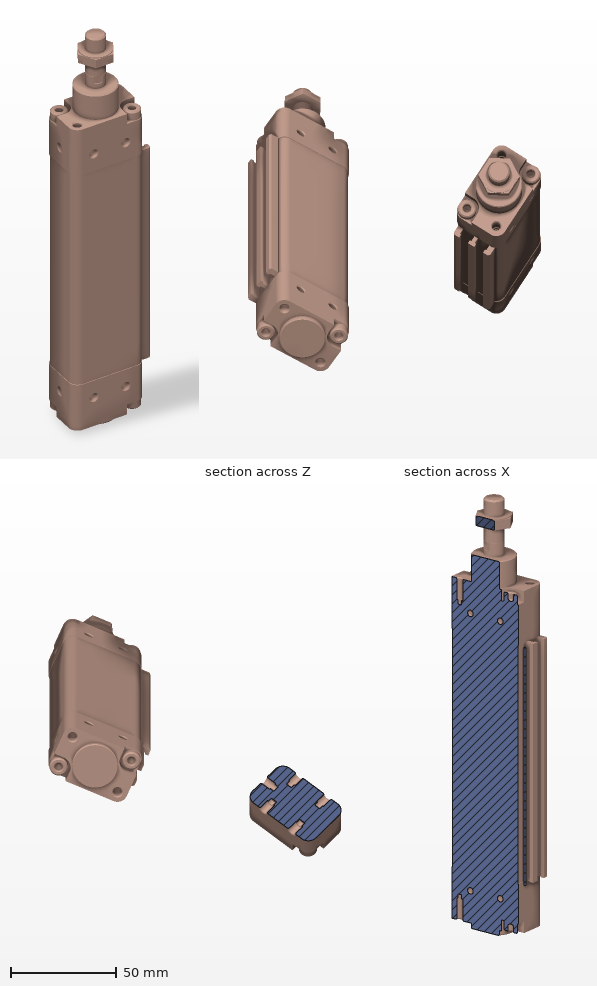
import cadquery as cq
import math

total_height = 217.5
body_width = 26.0
body_depth = 40.0
corner_radius = 4.8
foot_height = 2.6
cap_height = 26.0
tube_height = 120.5
tube_inset = 0.33
tube_bottom = foot_height + cap_height
tube_top = tube_bottom + tube_height
body_top = tube_top + cap_height

neck_diameter = 22.0
neck_height = 13.7
neck_chamfer = 0.5
neck_top = body_top + neck_height

corner_x = body_width / 2 - corner_radius
corner_y = body_depth / 2 - corner_radius
recess_size = 10.5
recess_depth = 5.7
recess_radius = recess_size - corner_radius
head_diameter = 8.7
head_chamfer = 0.7
head_drop = 0.9
socket_diameter = 4.0
socket_mouth_diameter = 4.8
socket_depth = 3.3
mount_hole_diameter = 4.1
mount_pilot_diameter = 3.0
mount_mouth_diameter = 5.2
mount_hole_depth = 10.9

port_diameter = 4.1
port_pilot_diameter = 3.0
port_mouth_diameter = 5.0
port_depth = 5.5
pilot_length = 2.2
port_inset = 16.3
side_port_y = 9.0
port_levels = [foot_height + port_inset, body_top - port_inset]

rail_height = 4.5
rail_outer_x = 10.2
rail_inner_x = 7.5
rail_lip_x = 6.7
rail_lip_thickness = 1.7
rail_chamfer = 0.9
rail_root_bevel_x = 0.7
rail_root_bevel_y = 0.9
middle_stem_width = 2.0
middle_head_width = 3.5

rod_diameter = 10.0
rod_chamfer = 0.76
rod_seat_depth = 10.9
thread_end = 196.2
relief_width = 0.5
relief_depth = 0.2
flat_height = 4.0
wrench_size = 9.0
flat_angle = -15.0

nut_across_flats = 17.0
nut_across_corners = nut_across_flats / math.cos(math.radians(30))
nut_bottom = 204.0
nut_body_height = 4.8
nut_face_diameter = 16.7
nut_face_height = 0.5


def rounded_block(width, depth, radius, bottom, height):
    """Upright rectangular block with rounded vertical edges."""
    block = cq.Workplane("XY", origin=(0, 0, bottom)).rect(width, depth).extrude(height)
    return block.edges("|Z").fillet(radius)


def disc(diameter, bottom, height, x=0, y=0):
    """Upright cylinder."""
    return cq.Workplane("XY", origin=(x, y, bottom)).circle(diameter / 2).extrude(height)


def stepped_hole(mouth_diameter, diameter, depth, point, direction):
    """Cutter for a plain blind hole with a 45-degree countersunk mouth."""
    sink = (mouth_diameter - diameter) / 2
    start, inward = cq.Vector(*point), cq.Vector(*direction)
    bore = cq.Solid.makeCylinder(diameter / 2, depth, start, inward)
    mouth = cq.Solid.makeCone(mouth_diameter / 2, diameter / 2, sink, start, inward)
    return cq.Workplane(bore.fuse(mouth))


def piloted_hole(mouth_diameter, diameter, pilot_diameter, depth, point, direction):
    """Cutter for a countersunk hole that narrows to a pilot at its end."""
    hole = stepped_hole(mouth_diameter, diameter, depth, point, direction)
    inward = cq.Vector(*direction)
    pilot_start = cq.Vector(*point) + inward * depth
    pilot = cq.Solid.makeCylinder(pilot_diameter / 2, pilot_length, pilot_start, inward)
    return hole.union(cq.Workplane(pilot))


def pointed_socket(point, inward_z):
    """Cutter for a screw socket that ends in a cone."""
    socket = stepped_hole(socket_mouth_diameter, socket_diameter, socket_depth, point, (0, 0, inward_z))
    tip_start = cq.Vector(point[0], point[1], point[2] + inward_z * socket_depth)
    radius = socket_diameter / 2
    tip = cq.Solid.makeCone(radius, 0, radius, tip_start, cq.Vector(0, 0, inward_z))
    return socket.union(cq.Workplane(tip))


def corner_recess(side, bottom):
    """Cutter for the recess around a screw head; side is +1 at (+X, +Y) and -1 at (-X, -Y)."""
    center_x = side * (body_width - recess_size) / 2
    center_y = side * (body_depth - recess_size) / 2
    block = cq.Workplane("XY", origin=(center_x, center_y, bottom)).rect(recess_size, recess_size)
    inner_edge = "<X and <Y" if side > 0 else ">X and >Y"
    return block.extrude(recess_depth).edges("|Z").edges(inner_edge).fillet(recess_radius)


def add_corner_screws(body):
    """Sunken screw heads on one diagonal, at both ends."""
    for face_z, inward_z in ((body_top, -1), (foot_height, 1)):
        head_face = face_z + inward_z * head_drop
        floor = face_z + inward_z * recess_depth
        for side in (1, -1):
            x, y = side * corner_x, side * corner_y
            body = body.cut(corner_recess(side, min(face_z, floor)))
            head = disc(head_diameter, min(head_face, floor), recess_depth - head_drop, x, y)
            head = head.faces(">Z" if inward_z < 0 else "<Z").chamfer(head_chamfer)
            body = body.union(head).cut(pointed_socket((x, y, head_face), inward_z))
    return body


def cut_mount_holes(body):
    """Mounting holes on the other diagonal, at both ends."""
    for face_z, inward_z in ((body_top, -1), (foot_height, 1)):
        for side in (1, -1):
            point = (side * corner_x, -side * corner_y, face_z)
            body = body.cut(piloted_hole(
                mount_mouth_diameter, mount_hole_diameter, mount_pilot_diameter,
                mount_hole_depth, point, (0, 0, inward_z)))
    return body


def cut_ports(body):
    """One port on the -Y face and two holes on each X face of every cap."""
    mouths = []
    for z in port_levels:
        mouths.append(((0, -body_depth / 2, z), (0, 1, 0)))
        for side in (1, -1):
            for y in (side_port_y, -side_port_y):
                mouths.append(((side * body_width / 2, y, z), (-side, 0, 0)))
    for point, inward in mouths:
        body = body.cut(piloted_hole(
            port_mouth_diameter, port_diameter, port_pilot_diameter, port_depth, point, inward))
    return body


def sensor_rails():
    """Two outer lipped rails and a T-shaped middle rail that form the sensor slots."""
    root = body_depth / 2 - corner_radius
    top = body_depth / 2 + rail_height
    lip = top - rail_lip_thickness
    outer = (
        cq.Workplane("XY", origin=(0, 0, tube_bottom))
        .moveTo(rail_inner_x, root)
        .lineTo(rail_inner_x, lip)
        .lineTo(rail_lip_x, lip)
        .lineTo(rail_lip_x, top)
        .lineTo(rail_outer_x - rail_chamfer, top)
        .lineTo(rail_outer_x, top - rail_chamfer)
        .lineTo(rail_outer_x, body_depth / 2)
        .lineTo(rail_outer_x - rail_root_bevel_x, body_depth / 2 - rail_root_bevel_y)
        .lineTo(rail_outer_x - rail_root_bevel_x, root)
        .close()
        .extrude(tube_height)
    )
    stem_depth = top - root
    plane = cq.Workplane("XY", origin=(0, 0, tube_bottom))
    stem = plane.center(0, root + stem_depth / 2).rect(middle_stem_width, stem_depth).extrude(tube_height)
    head_y = top - rail_lip_thickness / 2
    plane = cq.Workplane("XY", origin=(0, head_y, tube_bottom))
    head = plane.rect(middle_head_width, rail_lip_thickness).extrude(tube_height)
    return outer.union(outer.mirror("YZ")).union(stem).union(head)


def make_rod():
    """Piston rod with a thread relief and two wrench flats."""
    bottom = neck_top - rod_seat_depth
    rod = disc(rod_diameter, bottom, total_height - bottom).faces(">Z").chamfer(rod_chamfer)
    relief_bottom = thread_end - relief_width
    relief_core = disc(rod_diameter - 2 * relief_depth, relief_bottom, relief_width)
    rod = rod.cut(disc(rod_diameter, relief_bottom, relief_width).cut(relief_core))
    flat_bottom = relief_bottom - flat_height
    for turn in (0, 180):
        cutter = cq.Workplane("XY").box(rod_diameter, rod_diameter, flat_height, centered=(False, True, False))
        cutter = cutter.translate((wrench_size / 2, 0, flat_bottom))
        rod = rod.cut(cutter.rotate((0, 0, 0), (0, 0, 1), flat_angle + turn))
    return rod


def make_housing():
    """Tube, two caps, neck, foot and rails as one solid."""
    body = rounded_block(body_width, body_depth, corner_radius, foot_height, cap_height)
    body = body.union(rounded_block(body_width, body_depth, corner_radius, tube_top, cap_height))
    body = body.union(rounded_block(
        body_width - 2 * tube_inset, body_depth - 2 * tube_inset, corner_radius, tube_bottom, tube_height))
    body = body.union(sensor_rails())
    body = add_corner_screws(body)
    body = cut_mount_holes(body)
    body = cut_ports(body)
    neck = disc(neck_diameter, body_top, neck_height).faces(">Z").chamfer(neck_chamfer)
    foot = disc(neck_diameter, 0, foot_height).faces("<Z").chamfer(neck_chamfer)
    body = body.union(neck).union(foot)
    return body.cut(disc(rod_diameter, neck_top - rod_seat_depth, rod_seat_depth))


def make_nut():
    """Hexagon nut with two corners along Y and a round bearing face on top."""
    hexagon = cq.Workplane("XY", origin=(0, 0, nut_bottom)).polygon(6, nut_across_corners)
    nut = hexagon.extrude(nut_body_height).rotate((0, 0, 0), (0, 0, 1), 90)
    face = disc(nut_face_diameter, nut_bottom + nut_body_height, nut_face_height)
    bore = disc(rod_diameter, nut_bottom, nut_body_height + nut_face_height)
    return nut.union(face).cut(bore)


housing = make_housing()
rod = make_rod()
nut = make_nut()

result = cq.Compound.makeCompound([housing.val(), rod.val(), nut.val()])